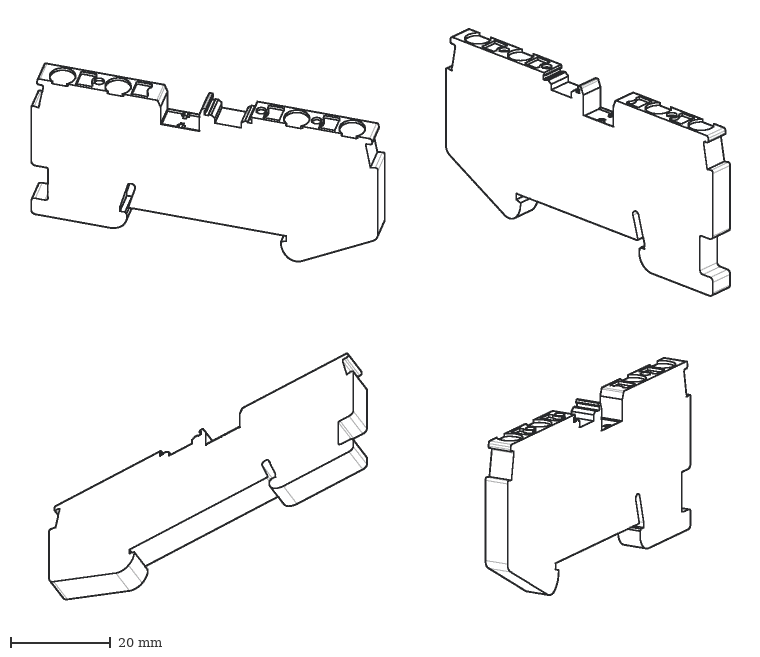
import cadquery as cq
import math


LENGTH = 72.2
WIDTH = 5.15
HEIGHT = 35.25

SHOULDER_Z = 28.08
SHOULDER_RADIUS = 0.5
NECK_FOOT_INSET = 1.55
NECK_FOOT_Z = 27.8
NECK_TOP_INSET = 2.6
NECK_TOP_RADIUS = 0.4
LIP_INSET = 1.1
LIP_TOP_INSET = 1.35
LIP_BOTTOM_Z = 33.75
LIP_TOP_RADIUS = 0.5
LIP_BOTTOM_RADIUS = 0.5

STEP_X = 3.5
STEP_TOP_Z = 12.6
STEP_BOTTOM_Z = 4.16
STEP_CORNER_RADIUS = 1.0
STEP_CEILING_RADIUS = 0.35
STEP_INNER_RADIUS = 0.7
FOOT_CORNER_RADIUS = 1.0
FOOT_TOP_RADIUS = 0.8
FOOT_ROUND_START_X = 16.6
FOOT_TIP_X = 19.85
FOOT_TIP_Z = 4.4
FOOT_TIP_CORNER = 0.3
FOOT_ROUND_MID = (18.98, 1.12)

SLOT_X = 18.5
SLOT_LEDGE_Z = 4.8
SLOT_BEND_Z = 5.9
SLOT_DIAMETER = 1.6
SLOT_LEAN = 15.0
SLOT_END_Z = 12.4
SLOT_CORNER_RADIUS = 0.3

SEAT_Z = 6.1
SEAT_END_X = 53.1
HOOK_TIP_X = 52.0
HOOK_LEDGE_Z = 4.8
HOOK_SIDE_Z = 4.4
HOOK_FLANK_MID = (52.3, 2.35)
HOOK_LOW_X = 55.1
HOOK_RADIUS = 2.5
HOOK_FLANK_ANGLE = 45.0
RAMP_ANGLE = 30.0
RAMP_CORNER_RADIUS = 2.2

NOTCH_LEFT_X = 26.95
NOTCH_RIGHT_X = 35.05
NOTCH_FLOOR_Z = 29.2
NOTCH_LEAN_X = 0.6
NOTCH_LEAN_Z = 1.6
NOTCH_EDGE_RADIUS = 0.35

GROOVE_CENTRE_X = 41.0
GROOVE_HALF = 2.72
GROOVE_FLOOR_Z = 32.05
BUMP_FOOT_Z = 33.3
BUMP_TOP_Z = 33.95
BUMP_OUTER_HALF = 4.1
BUMP_INNER_HALF = 3.5
UNDERCUT_Z = 33.7
UNDERCUT_HALF = 4.9
BARB_HALF = 4.5
BARB_LOW_Z = 34.6
BARB_HIGH_Z = 34.8
BARB_TOP_HALF = 4.65

RECESS_DEPTH = 0.6
FUNNEL_DIAMETER = 5.2
FUNNEL_Y = -0.43
FUNNEL_INSETS = (5.95, 17.5)
RELEASE_INSETS = (9.15, 20.7)
RELEASE_LENGTH = 3.3
RELEASE_WIDTH = 3.95
RELEASE_CORNER_RADIUS = 0.3
BITE_RADIUS = 1.45
BITE_OFFSET = 4.3
TEST_HOLE_DIAMETER = 2.0

POCKET_DEPTH = 0.25
POCKET_RIM = 0.1
POCKET_FLOOR_RIM = 0.5
POCKET_LEFT_GAP = 0.15
RIB_X = 31.0
RIB_WIDTH = 0.65
RIB_FOOT_WIDTH = 1.55
RIB_FLARE_END_Y = 1.45
RIB_TIP_Y = 0.75


def mirrored_x(x):
    return LENGTH - x


def groove_points():
    """Left half of the snap groove, from the barb down to the floor, then its mirror image."""
    half = [
        (BARB_TOP_HALF, HEIGHT),
        (BARB_HALF, BARB_HIGH_Z),
        (BARB_HALF, BARB_LOW_Z),
        (UNDERCUT_HALF, BARB_LOW_Z),
        (UNDERCUT_HALF, UNDERCUT_Z),
        (BUMP_OUTER_HALF, UNDERCUT_Z),
        (BUMP_OUTER_HALF, BUMP_TOP_Z),
        (BUMP_INNER_HALF, BUMP_TOP_Z),
        (GROOVE_HALF, BUMP_FOOT_Z),
        (GROOVE_HALF, GROOVE_FLOOR_Z),
    ]
    left = [(GROOVE_CENTRE_X - d, z) for d, z in half]
    right = [(GROOVE_CENTRE_X + d, z) for d, z in reversed(half)]
    return left + right


def round_edges(body, radius, *corners):
    """Round the edges across the width that pass through the given X, Z corners."""
    tolerance = 0.01
    for x, z in corners:
        low = (x - tolerance, -WIDTH, z - tolerance)
        high = (x + tolerance, WIDTH, z + tolerance)
        body = body.edges(cq.selectors.BoxSelector(low, high, boundingbox=False)).fillet(radius)
    return body


def hook_point(angle):
    """Point on the round underside of the hook, at an angle in degrees from its lowest point."""
    turn = math.radians(angle)
    return HOOK_LOW_X + HOOK_RADIUS * math.sin(turn), HOOK_RADIUS * (1 - math.cos(turn))


def make_body():
    lean = math.tan(math.radians(SLOT_LEAN))
    ramp_start_x, ramp_start_z = hook_point(RAMP_ANGLE)
    ramp_end_z = ramp_start_z + (LENGTH - ramp_start_x) * math.tan(math.radians(RAMP_ANGLE))
    slot_radius = SLOT_DIAMETER / 2
    slot_mouth = SLOT_DIAMETER / math.cos(math.radians(SLOT_LEAN))
    slot_centre_z = SLOT_END_Z - slot_radius
    slot_centre_x = SLOT_X + slot_mouth / 2 + (slot_centre_z - SLOT_BEND_Z) * lean
    across_x = slot_radius * math.cos(math.radians(SLOT_LEAN))
    across_z = slot_radius * math.sin(math.radians(SLOT_LEAN))
    slot_foot_x = SLOT_X + slot_mouth + (SEAT_Z - SLOT_BEND_Z) * lean

    outline = (
        cq.Workplane("XZ")
        .moveTo(0, 0)
        .lineTo(FOOT_ROUND_START_X, 0)
        .threePointArc(FOOT_ROUND_MID, (FOOT_TIP_X, FOOT_TIP_Z))
        .lineTo(FOOT_TIP_X - FOOT_TIP_CORNER, SLOT_LEDGE_Z)
        .lineTo(SLOT_X, SLOT_LEDGE_Z)
        .lineTo(SLOT_X, SLOT_BEND_Z)
        .lineTo(slot_centre_x - across_x, slot_centre_z + across_z)
        .threePointArc(
            (slot_centre_x + across_z, slot_centre_z + across_x),
            (slot_centre_x + across_x, slot_centre_z - across_z),
        )
        .lineTo(slot_foot_x, SEAT_Z)
        .lineTo(SEAT_END_X, SEAT_Z)
        .lineTo(SEAT_END_X, HOOK_LEDGE_Z)
        .lineTo(HOOK_TIP_X, HOOK_SIDE_Z)
        .threePointArc(HOOK_FLANK_MID, hook_point(-HOOK_FLANK_ANGLE))
        .threePointArc((HOOK_LOW_X, 0), (ramp_start_x, ramp_start_z))
        .lineTo(LENGTH, ramp_end_z)
        .lineTo(LENGTH, SHOULDER_Z)
        .lineTo(mirrored_x(NECK_FOOT_INSET), NECK_FOOT_Z)
        .lineTo(mirrored_x(NECK_TOP_INSET), LIP_BOTTOM_Z)
        .lineTo(mirrored_x(LIP_INSET), LIP_BOTTOM_Z)
        .lineTo(mirrored_x(LIP_TOP_INSET), HEIGHT)
    )
    for x, z in reversed(groove_points()):
        outline = outline.lineTo(x, z)
    outline = (
        outline.lineTo(NOTCH_RIGHT_X + NOTCH_LEAN_X, HEIGHT)
        .lineTo(NOTCH_RIGHT_X, HEIGHT - NOTCH_LEAN_Z)
        .lineTo(NOTCH_RIGHT_X, NOTCH_FLOOR_Z)
        .lineTo(NOTCH_LEFT_X, NOTCH_FLOOR_Z)
        .lineTo(NOTCH_LEFT_X, HEIGHT - NOTCH_LEAN_Z)
        .lineTo(NOTCH_LEFT_X - NOTCH_LEAN_X, HEIGHT)
        .lineTo(LIP_TOP_INSET, HEIGHT)
        .lineTo(LIP_INSET, LIP_BOTTOM_Z)
        .lineTo(NECK_TOP_INSET, LIP_BOTTOM_Z)
        .lineTo(NECK_FOOT_INSET, NECK_FOOT_Z)
        .lineTo(0, SHOULDER_Z)
        .lineTo(0, STEP_TOP_Z)
        .lineTo(STEP_X, STEP_TOP_Z)
        .lineTo(STEP_X, STEP_BOTTOM_Z)
        .lineTo(0, STEP_BOTTOM_Z)
        .close()
    )
    body = outline.extrude(WIDTH / 2, both=True)

    lip_tops = (LIP_TOP_INSET, HEIGHT), (mirrored_x(LIP_TOP_INSET), HEIGHT)
    lip_bottoms = (LIP_INSET, LIP_BOTTOM_Z), (mirrored_x(LIP_INSET), LIP_BOTTOM_Z)
    neck_tops = (NECK_TOP_INSET, LIP_BOTTOM_Z), (mirrored_x(NECK_TOP_INSET), LIP_BOTTOM_Z)
    body = round_edges(body, LIP_TOP_RADIUS, *lip_tops)
    body = round_edges(body, LIP_BOTTOM_RADIUS, *lip_bottoms)
    body = round_edges(body, NECK_TOP_RADIUS, *neck_tops)
    body = round_edges(body, SHOULDER_RADIUS, (0, SHOULDER_Z), (LENGTH, SHOULDER_Z))
    notch_edges = (NOTCH_LEFT_X - NOTCH_LEAN_X, HEIGHT), (NOTCH_RIGHT_X + NOTCH_LEAN_X, HEIGHT)
    body = round_edges(body, NOTCH_EDGE_RADIUS, *notch_edges)
    body = round_edges(body, STEP_CORNER_RADIUS, (0, STEP_TOP_Z))
    body = round_edges(body, STEP_CEILING_RADIUS, (STEP_X, STEP_TOP_Z))
    body = round_edges(body, STEP_INNER_RADIUS, (STEP_X, STEP_BOTTOM_Z))
    body = round_edges(body, FOOT_TOP_RADIUS, (0, STEP_BOTTOM_Z))
    body = round_edges(body, FOOT_CORNER_RADIUS, (0, 0))
    body = round_edges(body, SLOT_CORNER_RADIUS, (slot_foot_x, SEAT_Z))
    body = round_edges(body, RAMP_CORNER_RADIUS, (LENGTH, ramp_end_z))
    return body


def recess_plane():
    return cq.Workplane("XY").workplane(offset=HEIGHT - RECESS_DEPTH)


def funnel(x):
    return recess_plane().center(x, FUNNEL_Y).circle(FUNNEL_DIAMETER / 2).extrude(RECESS_DEPTH)


def test_hole(x):
    return recess_plane().center(x, 0).circle(TEST_HOLE_DIAMETER / 2).extrude(RECESS_DEPTH)


def release_slot(x, direction):
    """Rectangular recess from x, its far side bitten by an arc; direction is +1 or -1 along X."""
    recess = (
        recess_plane()
        .center(x + direction * RELEASE_LENGTH / 2, 0)
        .rect(RELEASE_LENGTH, RELEASE_WIDTH)
        .extrude(RECESS_DEPTH)
        .edges("|Z and >Y")
        .fillet(RELEASE_CORNER_RADIUS)
    )
    bite = recess_plane().center(x + direction * BITE_OFFSET, 0).circle(BITE_RADIUS).extrude(RECESS_DEPTH)
    return recess.cut(bite)


def cut_top_recesses(body):
    for inset in FUNNEL_INSETS:
        body = body.cut(funnel(inset)).cut(funnel(mirrored_x(inset)))
    for inset in RELEASE_INSETS:
        body = body.cut(release_slot(inset, 1)).cut(release_slot(mirrored_x(inset), -1))
        body = body.cut(test_hole(mirrored_x(inset + BITE_OFFSET)))
    return body.cut(test_hole(RELEASE_INSETS[0] + BITE_OFFSET))


def pocket_trough():
    """Trough with sloping side walls, from just beside the left wall of the notch to its right wall."""
    half_top = WIDTH / 2 - POCKET_RIM
    half_floor = WIDTH / 2 - POCKET_FLOOR_RIM
    floor_z = NOTCH_FLOOR_Z - POCKET_DEPTH
    section = [
        (-half_top, NOTCH_FLOOR_Z),
        (-half_floor, floor_z),
        (half_floor, floor_z),
        (half_top, NOTCH_FLOOR_Z),
    ]
    return (
        cq.Workplane("YZ", origin=(NOTCH_LEFT_X + POCKET_LEFT_GAP, 0, 0))
        .polyline(section)
        .close()
        .extrude(NOTCH_RIGHT_X - NOTCH_LEFT_X - POCKET_LEFT_GAP)
    )


def rear_rib():
    """Rib on the +Y side: flared towards the side wall, with a tip that slopes down to the floor."""
    floor_z = NOTCH_FLOOR_Z - POCKET_DEPTH
    blade_profile = [
        (WIDTH / 2, floor_z),
        (RIB_TIP_Y, floor_z),
        (RIB_FLARE_END_Y, NOTCH_FLOOR_Z),
        (WIDTH / 2, NOTCH_FLOOR_Z),
    ]
    blade = (
        cq.Workplane("YZ", origin=(RIB_X, 0, 0))
        .polyline(blade_profile)
        .close()
        .extrude(RIB_WIDTH / 2, both=True)
    )
    flare_section = [
        (RIB_X - RIB_FOOT_WIDTH / 2, floor_z),
        (RIB_X + RIB_FOOT_WIDTH / 2, floor_z),
        (RIB_X + RIB_WIDTH / 2, NOTCH_FLOOR_Z),
        (RIB_X - RIB_WIDTH / 2, NOTCH_FLOOR_Z),
    ]
    flare = (
        cq.Workplane("XZ", origin=(0, WIDTH / 2, 0))
        .polyline(flare_section)
        .close()
        .extrude(WIDTH / 2 - RIB_FLARE_END_Y)
    )
    return blade.union(flare)


def notch_pocket():
    rib = rear_rib()
    return pocket_trough().cut(rib).cut(rib.mirror("XZ"))


result = cut_top_recesses(make_body()).cut(notch_pocket())